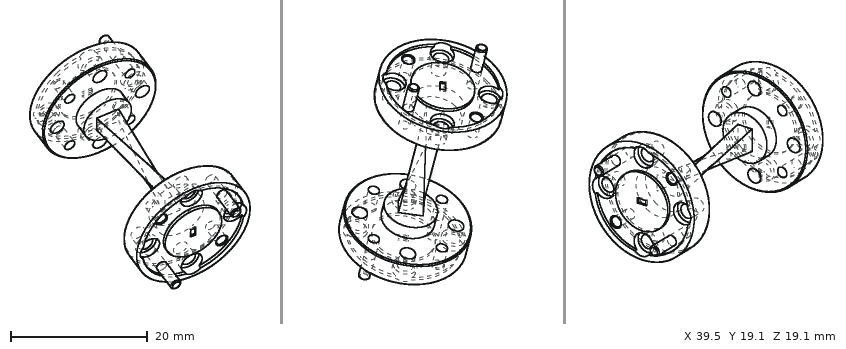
import cadquery as cq
import math


overall_length = 39.5
pin_projection = 3.87
flange_thickness = 4.0
collar_length = 2.3
outer_face_x = overall_length / 2 - pin_projection
inner_face_x = outer_face_x - flange_thickness
collar_end_x = inner_face_x - collar_length

flange_diameter = 19.05
flange_chamfer = 0.2
collar_diameter = 7.98
groove_outer_diameter = 17.0
groove_inner_diameter = 9.48
groove_depth = 0.5

pitch_radius = 7.15
screw_hole_diameter = 2.3
counterbore_diameter = 3.5
counterbore_depth = 1.5
dowel_diameter = 1.65
dowel_hole_chamfer = 0.15
screw_angles = (0, 90, 180, 270)
pin_angles = (45, 225)
dowel_hole_angles = (135, 315)

pin_tip_chamfer = 0.2

bar_width = 3.67
bar_height = 2.55
opening_width = 1.55
opening_height = 0.83
opening_depth = 0.3


def rod(x_start, x_end, diameter, y=0.0, z=0.0):
    """Round rod parallel to X between two X positions."""
    return (
        cq.Workplane("YZ", origin=(x_start, y, z))
        .circle(diameter / 2)
        .extrude(x_end - x_start)
    )


def on_pitch_circle(angle):
    """Y and Z of a point on the pitch circle, with the angle measured from +Y."""
    turn = math.radians(angle)
    return pitch_radius * math.cos(turn), pitch_radius * math.sin(turn)


def make_flange():
    """Flange of the -X end with its collar, face groove and holes."""
    groove_floor_x = -outer_face_x + groove_depth
    counterbore_floor_x = -outer_face_x + counterbore_depth
    flange = rod(-outer_face_x, -inner_face_x, flange_diameter).faces(">X").chamfer(flange_chamfer)
    flange = flange.union(rod(-inner_face_x, -collar_end_x, collar_diameter))

    groove = rod(-outer_face_x, groove_floor_x, groove_outer_diameter)
    groove = groove.cut(rod(-outer_face_x, groove_floor_x, groove_inner_diameter))
    flange = flange.cut(groove)

    for angle in screw_angles:
        y, z = on_pitch_circle(angle)
        flange = flange.cut(rod(-outer_face_x, -inner_face_x, screw_hole_diameter, y, z))
        flange = flange.cut(rod(-outer_face_x, counterbore_floor_x, counterbore_diameter, y, z))

    for angle in pin_angles + dowel_hole_angles:
        y, z = on_pitch_circle(angle)
        flange = flange.cut(rod(-outer_face_x, -inner_face_x, dowel_diameter, y, z))

    dowel_radius = dowel_diameter / 2
    for angle in dowel_hole_angles:
        y, z = on_pitch_circle(angle)
        mouth = cq.Solid.makeCone(
            dowel_radius + dowel_hole_chamfer,
            dowel_radius,
            dowel_hole_chamfer,
            pnt=cq.Vector(groove_floor_x, y, z),
            dir=cq.Vector(1, 0, 0),
        )
        flange = flange.cut(cq.Workplane(mouth))
    return flange


def make_twisted_bar():
    """Bar whose rectangular section turns a quarter turn, with straight corner edges."""
    half_width = bar_width / 2
    half_height = bar_height / 2
    section = [
        (-half_width, -half_height),
        (half_width, -half_height),
        (half_width, half_height),
        (-half_width, half_height),
    ]
    start = [cq.Vector(-collar_end_x, y, z) for y, z in section]
    end = [cq.Vector(collar_end_x, z, -y) for y, z in section]

    faces = []
    for corners in (start, end):
        faces.append(cq.Face.makeFromWires(cq.Wire.makePolygon(corners, close=True)))
    for i in range(len(section)):
        j = (i + 1) % len(section)
        start_edge = cq.Edge.makeLine(start[i], start[j])
        end_edge = cq.Edge.makeLine(end[i], end[j])
        faces.append(cq.Face.makeRuledSurface(start_edge, end_edge))
    return cq.Workplane(cq.Solid.makeSolid(cq.Shell.makeShell(faces)))


def make_opening(end_sign, y_size, z_size):
    """Shallow rectangular waveguide opening in the outer face of one end."""
    center_x = end_sign * (outer_face_x - opening_depth / 2)
    return cq.Workplane("XY").box(opening_depth, y_size, z_size).translate((center_x, 0, 0))


def make_waveguide():
    """The two flanges and the twisted bar as one solid."""
    flange = make_flange()
    return (
        flange.union(flange.mirror("YZ"))
        .union(make_twisted_bar())
        .cut(make_opening(-1, opening_width, opening_height))
        .cut(make_opening(1, opening_height, opening_width))
    )


def make_pin(angle):
    """Dowel pin of the -X end: flush with the inner flange face, with a chamfered tip."""
    y, z = on_pitch_circle(angle)
    pin = rod(-overall_length / 2, -inner_face_x, dowel_diameter, y, z)
    return pin.faces("<X").chamfer(pin_tip_chamfer)


waveguide = make_waveguide()

pins = []
for angle in pin_angles:
    pin = make_pin(angle).solids().val()
    pins.append(pin)
    pins.append(pin.mirror("YZ"))

result = cq.Compound.makeCompound([waveguide.solids().val(), *pins])